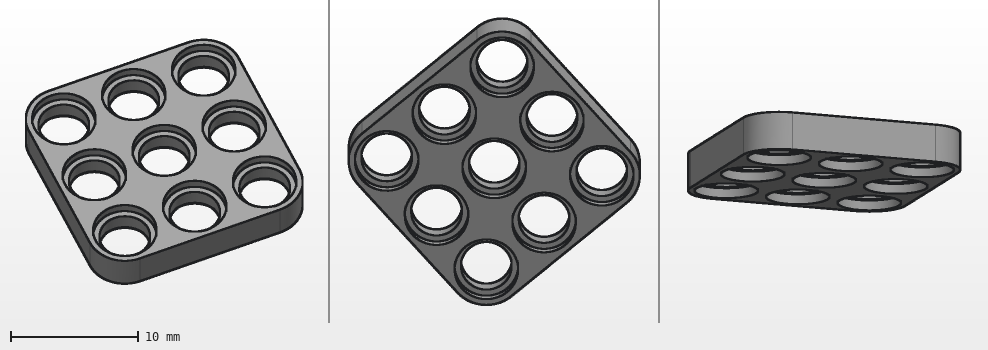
import cadquery as cq

side = 18.0
holes_per_side = 3
pitch = side / holes_per_side
corner_radius = pitch / 2
thickness = pitch / 2

hole_diameter = 4.0
recess_diameter = 5.0
recess_depth = 0.8


def recesses(bottom_z):
    """Grid of round recess cutters rising from the given height."""
    return (
        cq.Workplane("XY", origin=(0, 0, bottom_z))
        .rarray(pitch, pitch, holes_per_side, holes_per_side)
        .circle(recess_diameter / 2)
        .extrude(recess_depth)
    )


plate = cq.Workplane("XY").rect(side, side).extrude(thickness)
plate = plate.edges("|Z").fillet(corner_radius)

through_holes = (
    cq.Workplane("XY")
    .rarray(pitch, pitch, holes_per_side, holes_per_side)
    .circle(hole_diameter / 2)
    .extrude(thickness)
)

result = plate.cut(through_holes)
for bottom_z in (0, thickness - recess_depth):
    result = result.cut(recesses(bottom_z))